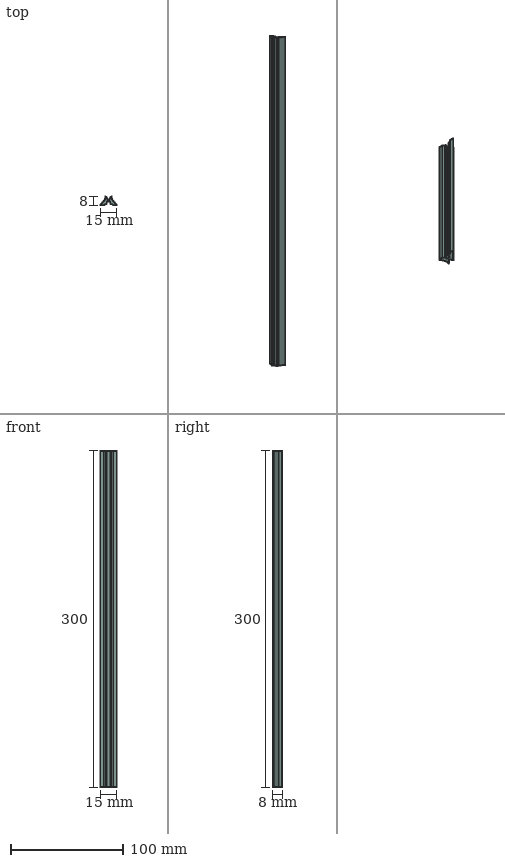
import cadquery as cq

length = 300.0
width = 15.0
depth = 8.0

half_width = width / 2
front = -depth / 2
back = depth / 2

foot_edge_height = 0.5
foot_slope_x = 6.5
foot_slope_rise = 1.2
foot_inner_x = 4.2

hollow_middle_x = 3.5
hollow_middle_rise = 0.75
hollow_end_x = 2.5
hollow_end_rise = 1.05
leg_tip_x = 1.5
leg_tip_rise = 1.5

web_front = -0.5
web_back = 1.5
web_back_half_width = 1.0

prong_root_x = 3.3
prong_root_y = 1.2
prong_tip_x = 2.7
prong_inner_x = 1.5
prong_bevel_depth = 1.0

right_profile = (
    cq.Workplane("XY", origin=(0, 0, -length / 2))
    .moveTo(0, web_front)
    .lineTo(leg_tip_x, web_front)
    .lineTo(leg_tip_x, front + leg_tip_rise)
    .lineTo(hollow_end_x, front + hollow_end_rise)
    .threePointArc(
        (hollow_middle_x, front + hollow_middle_rise),
        (foot_inner_x, front),
    )
    .lineTo(half_width, front)
    .lineTo(half_width, front + foot_edge_height)
    .lineTo(foot_slope_x, front + foot_slope_rise)
    .lineTo(prong_root_x, prong_root_y)
    .lineTo(prong_tip_x, back)
    .lineTo(prong_inner_x, back - prong_bevel_depth)
    .lineTo(web_back_half_width, web_back)
    .lineTo(0, web_back)
    .close()
)
right_half = right_profile.extrude(length)

result = right_half.union(right_half.mirror("YZ")).clean()